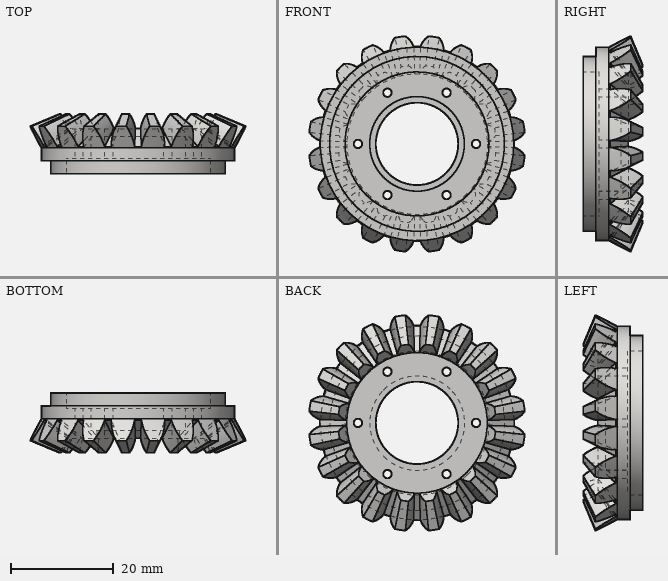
import cadquery as cq
import math


overall_height = 11.65
hub_diameter = 34.0
hub_height = 2.5
flange_diameter = 37.6
flange_top = 5.05
body_top = 8.8

bore_diameter = 16.0
counterbore_diameter = 18.4
counterbore_depth = 4.28
recess_diameter = 28.0
recess_depth = 3.0

bolt_count = 6
bolt_diameter = 1.6
bolt_circle_radius = 11.5

tooth_count = 20
outer_tip_radius = 21.1
outer_tip_height = 9.25
inner_tip_radius = 15.35
outer_root_radius = 18.95
inner_root_radius = 13.67
tip_half_angle = 2.8
middle_half_angle = 5.5
root_half_angle = 7.0

cutter_near = 4.2
cutter_far = 13.0
cutter_overshoot = 1.15

flange_radius = flange_diameter / 2
back_slope = (outer_tip_height - flange_top) / (outer_tip_radius - flange_radius)
tip_slope = (overall_height - outer_tip_height) / (outer_tip_radius - inner_tip_radius)
apex_height = outer_tip_height + outer_tip_radius * tip_slope

hub_face_y = -overall_height / 2


def cone_ratio(radius):
    """Radius per unit distance from the apex, for a point on the back face of the teeth."""
    height = flange_top + (radius - flange_radius) * back_slope
    return radius / (apex_height - height)


def make_blank():
    """Body with a solid ring in place of the teeth, as one turned profile."""
    hub_radius = hub_diameter / 2
    bore_radius = bore_diameter / 2
    counterbore_radius = counterbore_diameter / 2
    recess_radius = recess_diameter / 2
    ledge_height = recess_depth + counterbore_depth
    profile = [
        (recess_radius, 0),
        (hub_radius, 0),
        (hub_radius, hub_height),
        (flange_radius, hub_height),
        (flange_radius, flange_top),
        (outer_tip_radius, outer_tip_height),
        (inner_tip_radius, overall_height),
        (inner_root_radius, body_top),
        (bore_radius, body_top),
        (bore_radius, ledge_height),
        (counterbore_radius, ledge_height),
        (counterbore_radius, recess_depth),
        (recess_radius, recess_depth),
    ]
    outline = cq.Workplane("XY").polyline(profile).close()
    return outline.revolve(360, (0, 0, 0), (0, 1, 0))


def gap_section(apex_distance):
    """Cross-section of one tooth gap, centred on +X, square to the gear axis."""
    middle_radius = (outer_root_radius + outer_tip_radius) / 2
    half_pitch = 180 / tooth_count
    height = apex_height - apex_distance

    def corner(ratio, angle):
        radius = apex_distance * ratio
        turn = math.radians(angle)
        return cq.Vector(radius * math.cos(turn), height, radius * math.sin(turn))

    root = cone_ratio(outer_root_radius)
    middle = cone_ratio(middle_radius)
    tip = cone_ratio(outer_tip_radius)
    beyond = tip * cutter_overshoot
    root_angle = half_pitch - root_half_angle
    middle_angle = half_pitch - middle_half_angle
    tip_angle = half_pitch - tip_half_angle

    edges = [
        cq.Edge.makeThreePointArc(corner(root, -root_angle), corner(root, 0), corner(root, root_angle)),
        cq.Edge.makeThreePointArc(
            corner(root, root_angle), corner(middle, middle_angle), corner(tip, tip_angle)
        ),
        cq.Edge.makeLine(corner(tip, tip_angle), corner(beyond, tip_angle)),
        cq.Edge.makeLine(corner(beyond, tip_angle), corner(beyond, -tip_angle)),
        cq.Edge.makeLine(corner(beyond, -tip_angle), corner(tip, -tip_angle)),
        cq.Edge.makeThreePointArc(
            corner(tip, -tip_angle), corner(middle, -middle_angle), corner(root, -root_angle)
        ),
    ]
    return cq.Wire.assembleEdges(edges)


def cut_tooth_gaps(body):
    """Cut the tapering gaps; one gap lies on the +X axis."""
    sections = [gap_section(cutter_far), gap_section(cutter_near)]
    cutter = cq.Solid.makeLoft(sections, True)
    for index in range(tooth_count):
        angle = index * 360 / tooth_count
        body = body.cut(cq.Workplane(cutter.rotate(cq.Vector(0, 0, 0), cq.Vector(0, 1, 0), angle)))
    return body


def cut_bolt_holes(body):
    """Drill the bolt circle through the floor of the recess."""
    holes = (
        cq.Workplane("XZ")
        .polarArray(bolt_circle_radius, 0, 360, bolt_count)
        .circle(bolt_diameter / 2)
        .extrude(-overall_height)
    )
    return body.cut(holes)


gear = make_blank()
gear = cut_tooth_gaps(gear)
gear = cut_bolt_holes(gear)
result = gear.translate((0, hub_face_y, 0))